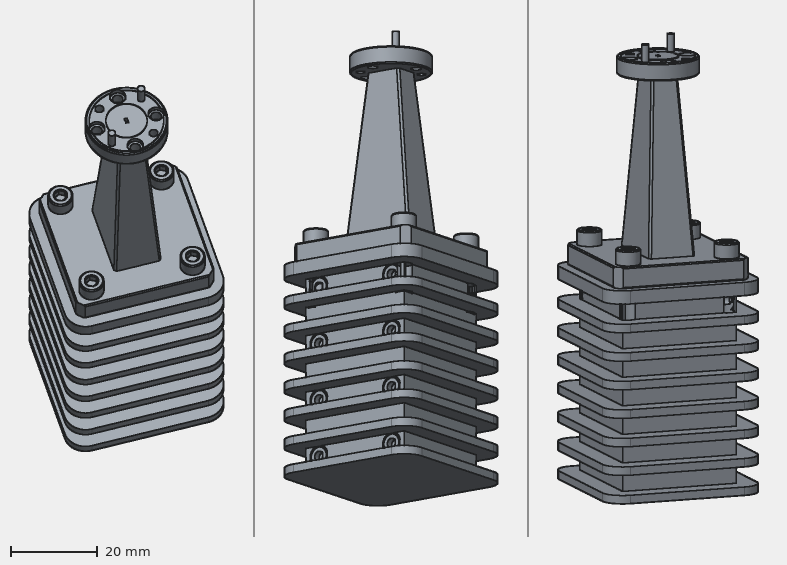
import cadquery as cq

FIN_WIDTH = 38.0
FIN_THICKNESS = 2.0
FIN_COUNT = 7
TOP_FIN_THICKNESS = 3.1
SINK_HEIGHT = 50.0
CORE_WIDTH = 28.0
FIN_CORNER_RADIUS = (FIN_WIDTH - CORE_WIDTH) / 2
FIN_GAP = (SINK_HEIGHT - TOP_FIN_THICKNESS - FIN_COUNT * FIN_THICKNESS) / FIN_COUNT
FIN_PITCH = FIN_THICKNESS + FIN_GAP
GAPS_PER_HEAD_ROW = 2

SIDE_HEAD_X = 10.4
SIDE_HEAD_DIAMETER = 4.9
SIDE_HEAD_CHAMFER = 0.3
SIDE_SOCKET_DIAMETER = 2.3
SIDE_SOCKET_DEPTH = 1.7

SCREW_SPACING_X = 25.1
SCREW_SPACING_Y = 24.3
SCREW_DIAMETER = 3.9
SCREW_HOLE_DEPTH = 10.0
SCREW_POSITIONS = [(i * SCREW_SPACING_X / 2, j * SCREW_SPACING_Y / 2) for i in (-1, 1) for j in (-1, 1)]

PLATE_WIDTH = 33.2
PLATE_THICKNESS = 5.0
PLATE_CORNER_CHAMFER = 1.8
PLATE_EDGE_CHAMFER = 0.3
PLATE_TOP = SINK_HEIGHT + PLATE_THICKNESS

FLANGE_DIAMETER = 19.0
FLANGE_BOTTOM = 96.6
FLANGE_TOP = 100.8
FLANGE_THICKNESS = FLANGE_TOP - FLANGE_BOTTOM
FLANGE_EDGE_CHAMFER = 0.3
FACE_BOSS_DIAMETER = 9.5
FACE_RIM_DIAMETER = 17.2
FACE_RECESS_DEPTH = 0.2

NECK_BOTTOM_X = 18.5
NECK_BOTTOM_Y = 11.3
NECK_TOP_X = 9.0
NECK_TOP_Y = 6.5
NECK_EDGE_CHAMFER = 0.5

BOLT_CIRCLE_RADIUS = 7.1
BOLT_COUNT = 4
BOLT_HOLE_DIAMETER = 2.4
COUNTERBORE_DIAMETER = 3.7
COUNTERBORE_DEPTH = 1.3
DOWEL_DIAMETER = 1.7
DOWEL_TOP = 104.7
DOWEL_ANGLE = 135
DOWEL_HOLE_ANGLE = DOWEL_ANGLE - 90
DOWEL_HOLE_DIAMETER = 2.0
WAVEGUIDE_X = 1.3
WAVEGUIDE_Y = 0.6

HEAD_DIAMETER = 5.8
HEAD_HEIGHT = 3.6
HEAD_EDGE_CHAMFER = 0.3
SOCKET_ACROSS_CORNERS = 3.0
SOCKET_CHAMFER_DIAMETER = 3.2
SOCKET_CHAMFER_DEPTH = 0.2
SOCKET_DEPTH = 1.8


def make_heat_sink():
    sink = cq.Workplane("XY").rect(CORE_WIDTH, CORE_WIDTH).extrude(SINK_HEIGHT)
    fin_layers = [(i * FIN_PITCH, FIN_THICKNESS) for i in range(FIN_COUNT)]
    fin_layers.append((SINK_HEIGHT - TOP_FIN_THICKNESS, TOP_FIN_THICKNESS))
    for bottom, thickness in fin_layers:
        fin = cq.Workplane("XY", origin=(0, 0, bottom)).rect(FIN_WIDTH, FIN_WIDTH).extrude(thickness)
        sink = sink.union(fin.edges("|Z").fillet(FIN_CORNER_RADIUS))
    for i in range(0, FIN_COUNT, GAPS_PER_HEAD_ROW):
        gap_bottom = i * FIN_PITCH + FIN_THICKNESS
        for x in (-SIDE_HEAD_X, SIDE_HEAD_X):
            sink = sink.cut(side_head_cutter(x, gap_bottom))
    screw_holes = (
        cq.Workplane("XY", origin=(0, 0, SINK_HEIGHT - SCREW_HOLE_DEPTH))
        .pushPoints(SCREW_POSITIONS)
        .circle(SCREW_DIAMETER / 2)
        .extrude(SCREW_HOLE_DEPTH)
    )
    return sink.cut(screw_holes)


def side_head_cutter(x, gap_bottom):
    """Socket and V-groove of one flush head, with the groove kept between the neighbouring fins."""
    center = (x, -CORE_WIDTH / 2, gap_bottom + FIN_GAP / 2)
    head_radius = SIDE_HEAD_DIAMETER / 2
    ring = (
        cq.Workplane("XY", origin=center)
        .moveTo(head_radius, 0)
        .lineTo(head_radius, SIDE_HEAD_CHAMFER)
        .lineTo(head_radius - SIDE_HEAD_CHAMFER, 0)
        .close()
        .revolve(360, (0, 0, 0), (0, 1, 0))
    )
    face = cq.Workplane("XZ", origin=center)
    gap = face.rect(SIDE_HEAD_DIAMETER, FIN_GAP).extrude(-SIDE_HEAD_CHAMFER)
    socket = face.circle(SIDE_SOCKET_DIAMETER / 2).extrude(-SIDE_SOCKET_DEPTH)
    return ring.intersect(gap).union(socket)


def make_plate():
    plate = (
        cq.Workplane("XY", origin=(0, 0, SINK_HEIGHT))
        .rect(PLATE_WIDTH, PLATE_WIDTH)
        .extrude(PLATE_THICKNESS)
        .edges("|Z")
        .chamfer(PLATE_CORNER_CHAMFER)
    )
    plate = plate.faces("<Z or >Z").edges("|X or |Y").chamfer(PLATE_EDGE_CHAMFER)
    screw_holes = (
        cq.Workplane("XY", origin=(0, 0, SINK_HEIGHT))
        .pushPoints(SCREW_POSITIONS)
        .circle(SCREW_DIAMETER / 2)
        .extrude(PLATE_THICKNESS)
    )
    return plate.cut(screw_holes)


def neck_section(width, depth, height):
    """Rectangle with chamfered corners, at a height above the plate."""
    section = cq.Sketch().rect(width, depth).vertices().chamfer(NECK_EDGE_CHAMFER)
    return section.moved(cq.Location(cq.Vector(0, 0, height)))


def make_neck():
    bottom = neck_section(NECK_BOTTOM_X, NECK_BOTTOM_Y, 0)
    top = neck_section(NECK_TOP_X, NECK_TOP_Y, FLANGE_BOTTOM - PLATE_TOP)
    return cq.Workplane("XY", origin=(0, 0, PLATE_TOP)).placeSketch(bottom, top).loft()


def make_flange():
    flange = (
        cq.Workplane("XY", origin=(0, 0, FLANGE_BOTTOM))
        .circle(FLANGE_DIAMETER / 2)
        .extrude(FLANGE_THICKNESS)
        .edges()
        .chamfer(FLANGE_EDGE_CHAMFER)
    )
    top = cq.Workplane("XY", origin=(0, 0, FLANGE_TOP))
    recess = top.circle(FACE_RIM_DIAMETER / 2).circle(FACE_BOSS_DIAMETER / 2).extrude(-FACE_RECESS_DEPTH)
    return flange.cut(recess)


def cut_flange_holes(horn):
    top = cq.Workplane("XY", origin=(0, 0, FLANGE_TOP))
    bolts = top.polarArray(BOLT_CIRCLE_RADIUS, 0, 360, BOLT_COUNT)
    horn = horn.cut(bolts.circle(BOLT_HOLE_DIAMETER / 2).extrude(-FLANGE_THICKNESS))
    horn = horn.cut(bolts.circle(COUNTERBORE_DIAMETER / 2).extrude(-COUNTERBORE_DEPTH))
    dowel_holes = top.polarArray(BOLT_CIRCLE_RADIUS, DOWEL_HOLE_ANGLE, 360, 2)
    return horn.cut(dowel_holes.circle(DOWEL_HOLE_DIAMETER / 2).extrude(-FLANGE_THICKNESS))


def make_dowels():
    return (
        cq.Workplane("XY", origin=(0, 0, FLANGE_BOTTOM))
        .polarArray(BOLT_CIRCLE_RADIUS, DOWEL_ANGLE, 360, 2)
        .circle(DOWEL_DIAMETER / 2)
        .extrude(DOWEL_TOP - FLANGE_BOTTOM)
    )


def make_horn():
    horn = cut_flange_holes(make_plate().union(make_neck()).union(make_flange()))
    waveguide = (
        cq.Workplane("XY", origin=(0, 0, SINK_HEIGHT))
        .rect(WAVEGUIDE_X, WAVEGUIDE_Y)
        .extrude(FLANGE_TOP - SINK_HEIGHT)
    )
    return horn.cut(waveguide).union(make_dowels())


def make_cap_screw(x, y):
    head = (
        cq.Workplane("XY", origin=(x, y, PLATE_TOP))
        .circle(HEAD_DIAMETER / 2)
        .extrude(HEAD_HEIGHT)
        .faces(">Z")
        .chamfer(HEAD_EDGE_CHAMFER)
    )
    shank_length = PLATE_THICKNESS + TOP_FIN_THICKNESS
    shank = cq.Workplane("XY", origin=(x, y, PLATE_TOP)).circle(SCREW_DIAMETER / 2).extrude(-shank_length)
    head_top = cq.Workplane("XY", origin=(x, y, PLATE_TOP + HEAD_HEIGHT))
    socket = head_top.polygon(6, SOCKET_ACROSS_CORNERS).extrude(-SOCKET_DEPTH)
    socket_lead_in = head_top.circle(SOCKET_CHAMFER_DIAMETER / 2).extrude(-SOCKET_CHAMFER_DEPTH, taper=45)
    return head.union(shank).cut(socket).cut(socket_lead_in)


heat_sink = make_heat_sink()
horn = make_horn()
cap_screws = [make_cap_screw(x, y) for x, y in SCREW_POSITIONS]

result = cq.Compound.makeCompound([heat_sink.val(), horn.val(), *[screw.val() for screw in cap_screws]])